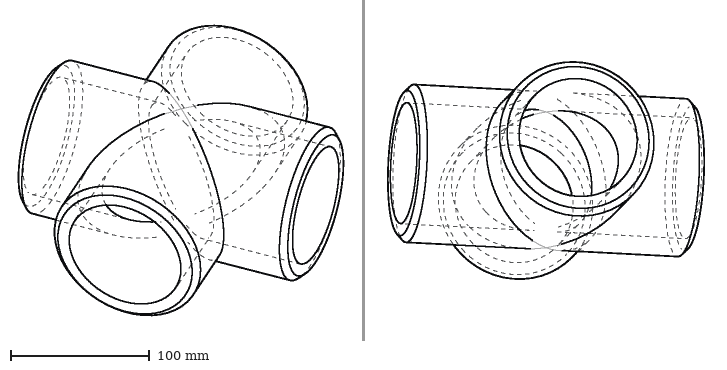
import cadquery as cq

overall_length = 210.0
outer_diameter = 114.0
bore_diameter = 87.2
chamfer_size = 4.6


def centred_cylinder(plane, diameter):
    """Solid round bar along the plane's normal, spanning the full length."""
    bar = cq.Workplane(plane).circle(diameter / 2)
    return bar.extrude(overall_length / 2, both=True)


def chamfered_bar(plane):
    """Outer body of one pipe run, with both end rims chamfered."""
    return centred_cylinder(plane, outer_diameter).edges("%CIRCLE").chamfer(chamfer_size)


outer_body = chamfered_bar("YZ").union(chamfered_bar("XZ"))

bores = centred_cylinder("YZ", bore_diameter).union(centred_cylinder("XZ", bore_diameter))

result = outer_body.cut(bores)